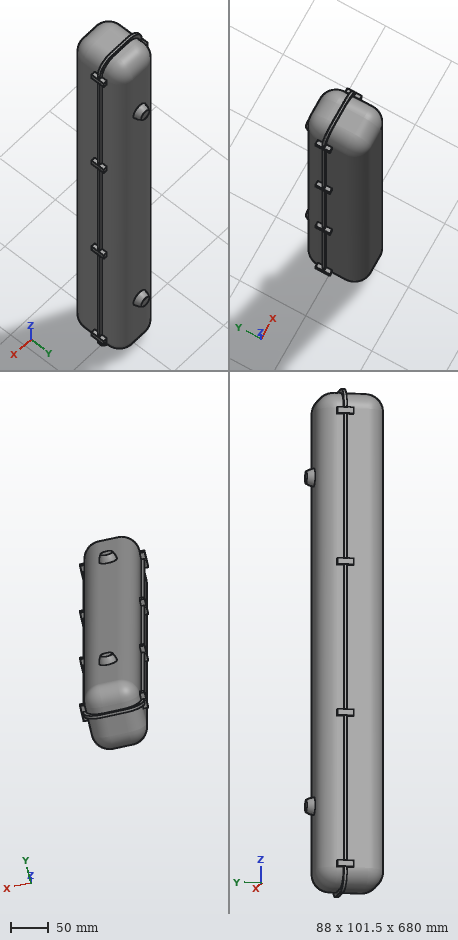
import cadquery as cq

total_length = 680.0
body_width = 75.0
rim_end_overhang = 5.0
rim_width = 83.0
rim_thickness = 4.0
rear_depth = 35.5
front_depth = 56.0
edge_radius = 24.5
body_length = total_length - 2 * rim_end_overhang

clip_span = 88.0
clip_depth = 22.0
clip_length = 8.0
clip_count = 4
end_clip_z = body_length / 2 - edge_radius - clip_length / 2
clip_pitch = 2 * end_clip_z / (clip_count - 1)

foot_height = 10.0
foot_radius = 12.0
foot_middle_radius = 11.0
foot_tip_radius = 8.0
foot_z = 222.5

split_y = -rim_thickness / 2


def half_shell(start_y, end_y, outer_face):
    """Box between two Y planes, rounded on its corners and around its outer face."""
    return (
        cq.Workplane("XY")
        .box(body_width, end_y - start_y, body_length)
        .translate((0, (start_y + end_y) / 2, 0))
        .edges("|Y")
        .fillet(edge_radius)
        .faces(outer_face)
        .edges()
        .fillet(edge_radius)
    )


def make_rim():
    """Thin plate that stands out around the whole body."""
    return (
        cq.Workplane("XY")
        .box(rim_width, rim_thickness, total_length)
        .edges("|Y")
        .fillet(edge_radius)
    )


def make_clip(side, z):
    """Block from the body's side wall to just beyond the rim."""
    clip_height = (clip_span - body_width) / 2
    clip_x = side * (body_width + clip_height) / 2
    return cq.Workplane("XY").box(clip_height, clip_depth, clip_length).translate((clip_x, 0, z))


def make_foot(z):
    """Flat-tipped dome on the back face."""
    return (
        cq.Workplane("YZ", origin=(0, rear_depth, z))
        .lineTo(0, foot_radius)
        .threePointArc((foot_height / 2, foot_middle_radius), (foot_height, foot_tip_radius))
        .lineTo(foot_height, 0)
        .close()
        .revolve(360, (0, 0, 0), (1, 0, 0))
    )


def make_base():
    """Rear body with the rim, the clips and the mounting feet."""
    base = half_shell(split_y, rear_depth, ">Y").union(make_rim())
    for index in range(clip_count):
        for side in (-1, 1):
            base = base.union(make_clip(side, index * clip_pitch - end_clip_z))
    for z in (-foot_z, foot_z):
        base = base.union(make_foot(z))
    return base


def make_cover():
    """Front body that closes against the rim."""
    return half_shell(-front_depth, split_y, "<Y")


base = make_base()
cover = make_cover()
result = cq.Compound.makeCompound([base.val(), cover.val()])